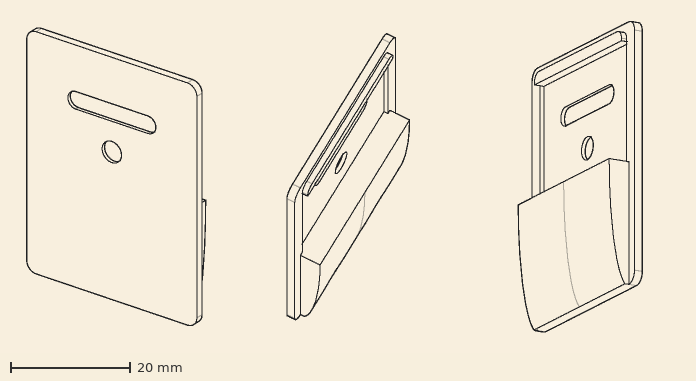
import cadquery as cq

plate_width = 35.3
plate_height = 46.0
plate_thickness = 1.5
plate_corner_radius = 2.0

slot_length = 18.2
slot_height = 3.3
slot_center_z = 35.5
hole_diameter = 4.0
hole_center_z = 28.0

bar_width = 29.9
bar_height = 2.0
bar_depth = 1.0
bar_corner_radius = 1.5
bar_top_gap = 1.35
bar_bottom_z = plate_height - bar_top_gap - bar_height

total_depth = 5.3
grip_width = plate_width - 2 * plate_corner_radius
grip_height = 21.5
grip_depth = total_depth - plate_thickness
grip_ellipse_height = 21.9

recess_floor_thickness = 0.75


def make_plate():
    return (
        cq.Workplane("XY")
        .box(plate_width, plate_thickness, plate_height, centered=(True, False, False))
        .edges("|Y")
        .fillet(plate_corner_radius)
    )


def cut_openings(body):
    slot = (
        cq.Workplane("XZ", origin=(0, 0, slot_center_z))
        .slot2D(slot_length, slot_height)
        .extrude(-plate_thickness)
    )
    hole = (
        cq.Workplane("XZ", origin=(0, 0, hole_center_z))
        .circle(hole_diameter / 2)
        .extrude(-plate_thickness)
    )
    return body.cut(slot).cut(hole)


def cut_recess(body):
    recess = (
        cq.Workplane("XY", origin=(0, recess_floor_thickness, grip_height))
        .box(
            bar_width,
            plate_thickness - recess_floor_thickness,
            bar_bottom_z - grip_height,
            centered=(True, False, False),
        )
    )
    return body.cut(recess)


def make_bar():
    return (
        cq.Workplane("XY", origin=(0, plate_thickness, bar_bottom_z))
        .box(bar_width, bar_depth, bar_height, centered=(True, False, False))
        .edges("|Y and >Z")
        .fillet(bar_corner_radius)
    )


def make_grip():
    ellipse = (
        cq.Workplane("YZ", origin=(0, plate_thickness, grip_height))
        .ellipse(grip_depth, grip_ellipse_height)
        .extrude(grip_width / 2, both=True)
    )
    envelope = (
        cq.Workplane("XY", origin=(0, plate_thickness, 0))
        .box(grip_width, grip_depth, grip_height, centered=(True, False, False))
    )
    return envelope.intersect(ellipse)


plate = cut_recess(cut_openings(make_plate()))
result = plate.union(make_bar()).union(make_grip())